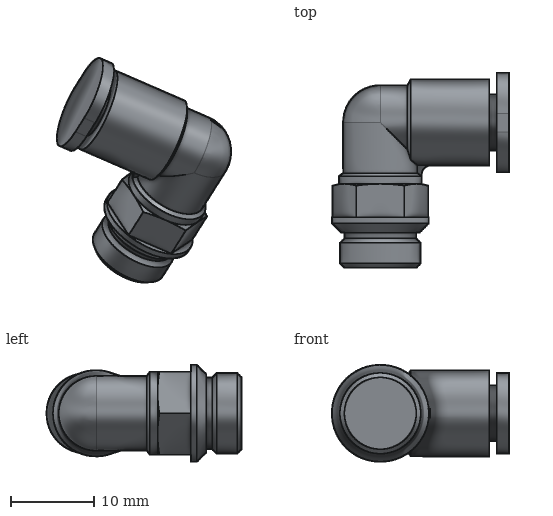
import cadquery as cq
import math

elbow_radius = 9.0 / 2

socket_radius = 10.4 / 2
socket_start = 3.27
socket_chamfer_length = 0.4
socket_end = 13.11
collar_neck_radius = 6.8 / 2
collar_start = 14.0

collar_end = 15.5
collar_end_radius = 9.73 / 2
collar_center_distance = 2.25

shoulder_radius = 10.0 / 2
shoulder_start = -6.09
shoulder_chamfer_length = 0.38
hex_start = -7.4
hex_across_flats = 10.0
hex_chamfer_angle = 15
flange_start = -11.4
flange_radius = 11.7 / 2
flange_cone_start = -12.13
flange_cone_size = 1.13
stem_neck_radius = 8.65 / 2
thread_radius = 9.73 / 2
thread_start = -13.95
stem_end = -17.5

web_thickness = 1.08
web_fillet_radius = 1.0


def make_elbow():
    """Round-cornered core reaching into the socket and the stem shoulder."""
    ball = cq.Workplane("XY").sphere(elbow_radius)
    socket_arm = cq.Workplane("YZ").circle(elbow_radius).extrude(socket_end)
    stem_arm = cq.Workplane("XZ").circle(elbow_radius).extrude(-hex_start)
    return ball.union(socket_arm).union(stem_arm)


def make_socket():
    """Socket body with a conical start and a narrow neck, turned about X."""
    profile = [
        (socket_start, 0),
        (socket_start, elbow_radius),
        (socket_start + socket_chamfer_length, socket_radius),
        (socket_end, socket_radius),
        (socket_end, collar_neck_radius),
        (collar_start, collar_neck_radius),
        (collar_start, 0),
    ]
    return cq.Workplane("XY").polyline(profile).close().revolve(360, (0, 0, 0), (1, 0, 0))


def make_collar():
    """Oval release collar, long in Y."""
    return (
        cq.Workplane("YZ", origin=(collar_start, 0, 0))
        .slot2D(collar_center_distance + 2 * collar_end_radius, 2 * collar_end_radius)
        .extrude(collar_end - collar_start)
    )


def make_stem():
    """Shoulder, flange, neck and thread envelope, turned about Y."""
    thread_chamfer = thread_radius - stem_neck_radius
    flange_cone_end = flange_cone_start - flange_cone_size
    profile = [
        (0, shoulder_start),
        (elbow_radius, shoulder_start),
        (shoulder_radius, shoulder_start - shoulder_chamfer_length),
        (shoulder_radius, flange_start),
        (flange_radius, flange_start),
        (flange_radius, flange_cone_start),
        (flange_radius - flange_cone_size, flange_cone_end),
        (stem_neck_radius, flange_cone_end),
        (stem_neck_radius, thread_start),
        (thread_radius, thread_start - thread_chamfer),
        (thread_radius, stem_end + thread_chamfer),
        (stem_neck_radius, stem_end),
        (0, stem_end),
    ]
    return cq.Workplane("XY").polyline(profile).close().revolve(360, (0, 0, 0), (0, 1, 0))


def make_hex():
    """Wrench hexagon with corners on X, its top trimmed by a shallow cone."""
    corner_radius = hex_across_flats / 2 / math.cos(math.pi / 6)
    prism = (
        cq.Workplane("XZ", origin=(0, hex_start, 0))
        .polygon(6, 2 * corner_radius)
        .extrude(hex_start - flange_start)
    )
    corner_drop = (corner_radius - shoulder_radius) * math.tan(math.radians(hex_chamfer_angle))
    cone_profile = [
        (0, hex_start),
        (shoulder_radius, hex_start),
        (corner_radius, hex_start - corner_drop),
        (corner_radius, flange_start),
        (0, flange_start),
    ]
    envelope = cq.Workplane("XY").polyline(cone_profile).close().revolve(360, (0, 0, 0), (0, 1, 0))
    return prism.intersect(envelope)


def make_web():
    """Thin filleted web between the socket body and the stem shoulder."""
    web_bottom = shoulder_start - shoulder_chamfer_length
    arc_center_x = shoulder_radius + web_fillet_radius
    arc_center_y = -socket_radius - web_fillet_radius
    arc_offset = web_fillet_radius * math.sqrt(0.5)
    return (
        cq.Workplane("XY")
        .lineTo(0, web_bottom)
        .lineTo(shoulder_radius, web_bottom)
        .lineTo(shoulder_radius, arc_center_y)
        .threePointArc(
            (arc_center_x - arc_offset, arc_center_y + arc_offset),
            (arc_center_x, -socket_radius),
        )
        .lineTo(arc_center_x, 0)
        .close()
        .extrude(web_thickness / 2, both=True)
    )


result = (
    make_elbow()
    .union(make_socket())
    .union(make_collar())
    .union(make_stem())
    .union(make_hex())
    .union(make_web())
)